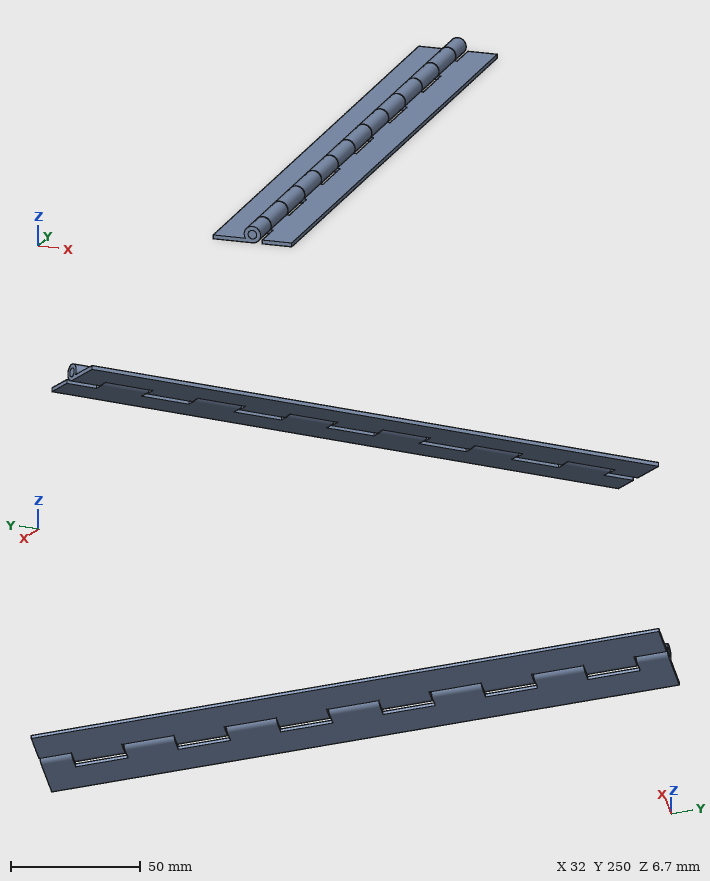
import cadquery as cq

hinge_length = 250.0
hinge_width = 32.0
sheet = 1.6
pin_diameter = 3.5

knuckle_count = 13
knuckle_pitch = 20.4
end_gap = 0.4
left_leaf_gap = 0.8
right_leaf_gap = 0.65

pin_radius = pin_diameter / 2
roll_radius = pin_radius + sheet
pin_height = roll_radius
leaf_outer_edge = hinge_width / 2


def knuckle_span(index):
    """Return the start and end of one knuckle along Y."""
    first_joint = -knuckle_pitch * (knuckle_count - 2) / 2
    start = first_joint + (index - 1) * knuckle_pitch + end_gap / 2
    end = first_joint + index * knuckle_pitch - end_gap / 2
    if index == 0:
        start = -hinge_length / 2
    if index == knuckle_count - 1:
        end = hinge_length / 2
    return start, end


def along_pin(radius, start, end):
    """Cylinder on the pin axis between two Y positions."""
    return (
        cq.Workplane("XZ", origin=(0, start, pin_height))
        .circle(radius)
        .extrude(start - end)
    )


def make_leaf(side, edge_gap, knuckle_indices):
    """Flat leaf with its rolled knuckles; side is -1 for left (-X), +1 for right (+X)."""
    leaf_inner_edge = roll_radius + edge_gap
    flat_width = leaf_outer_edge - leaf_inner_edge
    flat_center = side * (leaf_inner_edge + leaf_outer_edge) / 2
    leaf = (
        cq.Workplane("XY")
        .center(flat_center, 0)
        .rect(flat_width, hinge_length)
        .extrude(sheet)
    )
    for index in knuckle_indices:
        start, end = knuckle_span(index)
        tongue = (
            cq.Workplane("XY")
            .center(side * leaf_inner_edge / 2, (start + end) / 2)
            .rect(leaf_inner_edge, end - start)
            .extrude(sheet)
        )
        leaf = leaf.union(tongue).union(along_pin(roll_radius, start, end))
    pin_bore = along_pin(pin_radius, -hinge_length / 2, hinge_length / 2)
    return leaf.cut(pin_bore)


left_leaf = make_leaf(-1, left_leaf_gap, range(0, knuckle_count, 2))
right_leaf = make_leaf(1, right_leaf_gap, range(1, knuckle_count, 2))
pin = along_pin(pin_radius, -hinge_length / 2, hinge_length / 2)

result = cq.Compound.makeCompound([left_leaf.val(), right_leaf.val(), pin.val()])